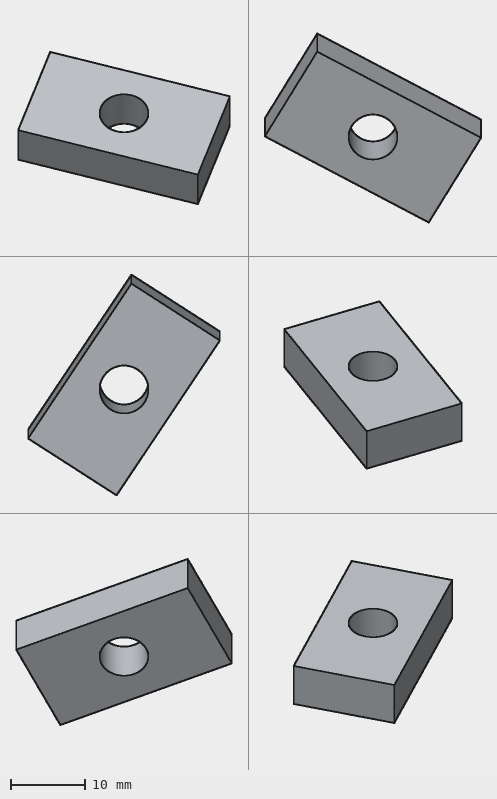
import cadquery as cq

length = 25.5
width = 14.3
thickness = 6.35

hole_diameter = 6.58

result = (
    cq.Workplane("XY")
    .box(length, width, thickness)
    .faces(">Z")
    .workplane()
    .hole(hole_diameter)
)